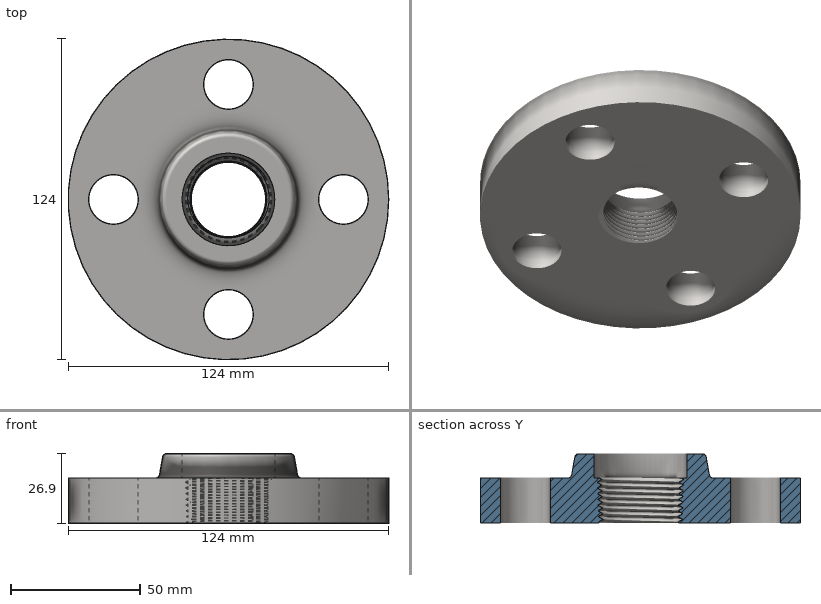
import cadquery as cq
import math

INCH = 25.4

flange_radius = 4.88 * INCH / 2
flange_thickness = 0.69 * INCH
bolt_circle_radius = 3.5 * INCH / 2
bolt_hole_diameter = 0.75 * INCH
bolt_hole_count = 4

total_height = 1.06 * INCH
hub_base_radius = 2.12 * INCH / 2
hub_draft_angle = 10.0
hub_fillet_radius = INCH / 16

counterbore_radius = 1.41 * INCH / 2

thread_pitch = INCH / 11.5
thread_pitch_radius = 1.23863 * INCH / 2
thread_taper = 1 / 32
thread_half_angle = 30.0
crest_flat = 0.12
spare_turns = 2
turns_above_floor = 0.75
cutter_overlap = 0.05

hub_height = total_height - flange_thickness
thread_length = flange_thickness
flank_slope = math.tan(math.radians(thread_half_angle))
sharp_v_depth = thread_pitch / (2 * flank_slope)
root_radius_at_floor = thread_pitch_radius + sharp_v_depth / 2
groove_depth = sharp_v_depth - crest_flat / (2 * flank_slope)
bore_radius_at_floor = root_radius_at_floor - groove_depth


def tapered_radius(radius_at_floor, z):
    """Radius at height z of a thread cone given by its radius at the counterbore floor."""
    return radius_at_floor - (thread_length - z) * thread_taper


def make_blank():
    """Flange disc with a drafted hub, filleted at its foot and rounded at its rim."""
    disc = cq.Workplane("XY").circle(flange_radius).extrude(flange_thickness)
    hub = (
        cq.Workplane("XY")
        .workplane(offset=flange_thickness)
        .circle(hub_base_radius)
        .extrude(hub_height, taper=hub_draft_angle)
    )
    hub_rim = cq.selectors.RadiusNthSelector(0)
    hub_foot = cq.selectors.RadiusNthSelector(1)
    blank = disc.union(hub)
    return blank.edges("%CIRCLE").edges(hub_rim + hub_foot).fillet(hub_fillet_radius)


def make_bore():
    """Tapered thread bore together with the counterbore above it."""
    return (
        cq.Workplane("XZ")
        .lineTo(tapered_radius(bore_radius_at_floor, 0), 0)
        .lineTo(bore_radius_at_floor, thread_length)
        .lineTo(counterbore_radius, thread_length)
        .lineTo(counterbore_radius, total_height)
        .lineTo(0, total_height)
        .close()
        .revolve(360, (0, 0, 0), (0, 1, 0))
    )


def make_thread_cutter():
    """Right-hand helical V that runs past both ends of the threaded bore."""
    turns = math.ceil(thread_length / thread_pitch) + spare_turns
    top_z = thread_length + turns_above_floor * thread_pitch
    start_z = top_z - turns * thread_pitch
    root_radius = tapered_radius(root_radius_at_floor, start_z)
    cutter_depth = groove_depth + cutter_overlap
    half_width = cutter_depth * flank_slope
    inner_radius = root_radius - cutter_depth
    helix = cq.Wire.makeHelix(
        thread_pitch,
        turns * thread_pitch,
        root_radius,
        center=cq.Vector(0, 0, start_z),
        angle=math.degrees(math.atan(thread_taper)),
    )
    return (
        cq.Workplane("XZ")
        .moveTo(root_radius, start_z)
        .lineTo(inner_radius, start_z + half_width)
        .lineTo(inner_radius, start_z - half_width)
        .close()
        .sweep(cq.Workplane(helix), isFrenet=True)
    )


def make_bolt_holes():
    """Through holes, evenly spaced on the bolt circle."""
    return (
        cq.Workplane("XY")
        .polarArray(bolt_circle_radius, 0, 360, bolt_hole_count)
        .circle(bolt_hole_diameter / 2)
        .extrude(flange_thickness)
    )


result = make_blank().cut(make_bolt_holes()).cut(make_thread_cutter()).cut(make_bore())